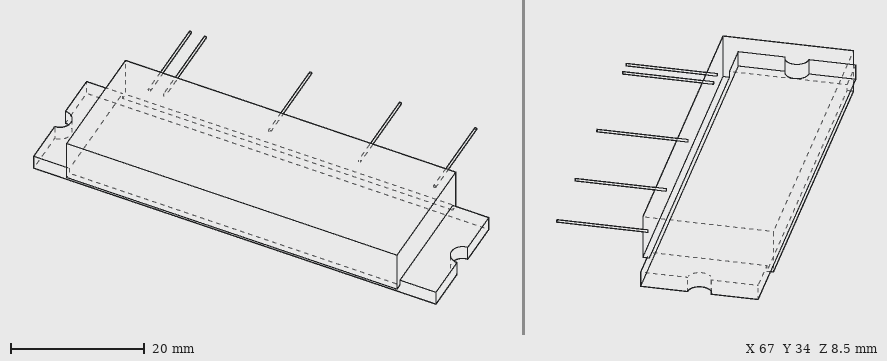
import cadquery as cq

flange_length = 67.0
flange_width = 18.0
flange_thickness = 2.5
notch_radius = 1.8

total_height = 8.5
housing_length = 55.0
housing_width = 20.0
housing_bottom = 1.5
housing_height = total_height - housing_bottom

total_width = 34.0
lead_diameter = 0.4
lead_length = total_width - housing_width
lead_height = 4.0
lead_positions = [-23.5, -21.05, -3.5, 11.45, 24.0]


def make_flange():
    """Flat plate with a half-round mounting notch in the middle of each end."""
    plate = cq.Workplane("XY").box(
        flange_length, flange_width, flange_thickness, centered=(True, True, False)
    )
    notches = (
        cq.Workplane("XY")
        .pushPoints([(-flange_length / 2, 0), (flange_length / 2, 0)])
        .circle(notch_radius)
        .extrude(flange_thickness)
    )
    return plate.cut(notches)


def make_housing():
    """Plain block that reaches partly down the sides of the flange."""
    return (
        cq.Workplane("XY")
        .workplane(offset=housing_bottom)
        .rect(housing_length, housing_width)
        .extrude(housing_height)
    )


def make_leads():
    """Round wires pointing along +Y from the back face of the housing."""
    return (
        cq.Workplane("XZ", origin=(0, housing_width / 2, 0))
        .pushPoints([(x, lead_height) for x in lead_positions])
        .circle(lead_diameter / 2)
        .extrude(-lead_length)
    )


result = make_flange().union(make_housing()).union(make_leads())